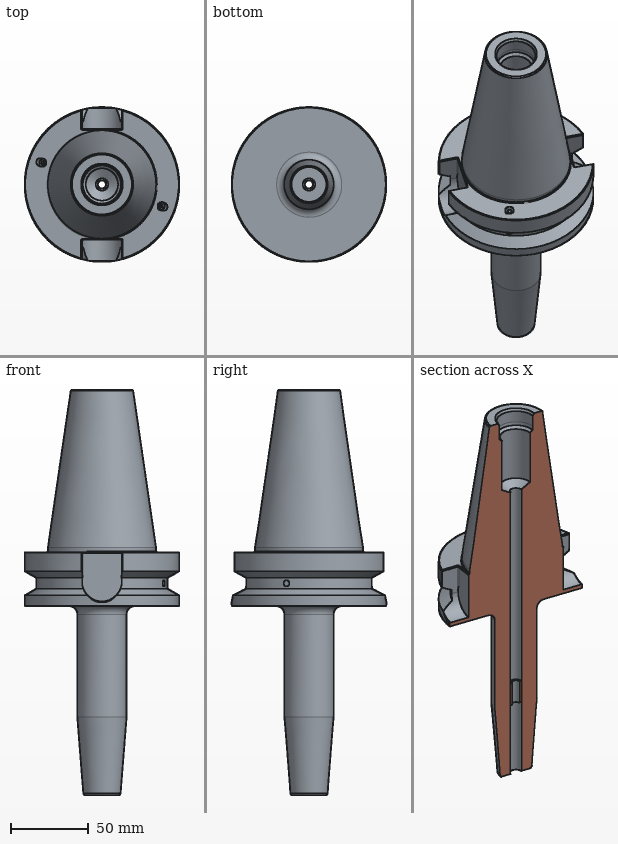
import cadquery as cq
import math


ARC_MID_SHARE = 1 - math.sqrt(0.5)

GAUGE_RADIUS = 69.85 / 2
TAPER_LENGTH = 101.8
TAPER_SLOPE = 7 / 48
TAPER_END_RADIUS = GAUGE_RADIUS - TAPER_LENGTH * TAPER_SLOPE
TAPER_END_CHAMFER = 0.8

FLANGE_RADIUS = 50.0
FLANGE_TOP = -3.0
FLANGE_BOTTOM = -38.0
FLANGE_CHAMFER = 0.5
COLLAR_FILLET = 0.6
GROOVE_RADIUS = 42.5
GROOVE_MID = -23.2
GROOVE_FLOOR_WIDTH = 7.0
GROOVE_FLANK_ANGLE = 30.0
GROOVE_FLANK_HEIGHT = (FLANGE_RADIUS - GROOVE_RADIUS) * math.tan(math.radians(GROOVE_FLANK_ANGLE))
GROOVE_FLOOR_TOP = GROOVE_MID + GROOVE_FLOOR_WIDTH / 2
GROOVE_FLOOR_BOTTOM = GROOVE_MID - GROOVE_FLOOR_WIDTH / 2

SLOT_HALF_WIDTH = 12.85
SLOT_FLOOR_Y = 35.8
SLOT_ARC_MID = -22.0
SLOT_FILLET = 0.5
SLOT_CHAMFER = 0.7

NOSE_END = -160.0
NOSE_RADIUS = 16.0
NOSE_FILLET = 5.0
NOSE_TIP_RADIUS = 12.0
NOSE_TAPER_ANGLE = 4.5
NOSE_TAPER_TOP = NOSE_END + (NOSE_RADIUS - NOSE_TIP_RADIUS) / math.tan(math.radians(NOSE_TAPER_ANGLE))
TIP_CHAMFER_HEIGHT = 1.5
TIP_CHAMFER_WIDTH = 0.8

BORE_RADIUS = 12.5
BORE_DEPTH = 9.4
BORE_MOUTH_RADIUS = 13.5
BORE_MOUTH_DEPTH = 1.7
BORE_FOOT_RADIUS = 12.3
BORE_FOOT_DEPTH = 12.0
THREAD_RADIUS = 10.4
THREAD_START_DEPTH = 13.7
THREAD_DEPTH = 50.0
DRILL_POINT_SLOPE = math.tan(math.radians(30))
PASSAGE_RADIUS = 4.0

STOP_SCREW_HOLE_RADIUS = 2.6
STOP_SCREW_LENGTH = 16.0
STOP_SCREW_TOP = NOSE_TAPER_TOP + STOP_SCREW_LENGTH

PORT_ANGLES = (160.0, 340.0)
PORT_RADIAL_PLACE = 41.7
PORT_TILT = 30.0
PORT_RADIUS = 2.75
PORT_DEPTH = 8.0
PORT_SCREW_RECESS = 2.4
HEX_ACROSS_FLATS = 2.5
HEX_DEPTH = 2.5
HEX_CORNER_DIAMETER = HEX_ACROSS_FLATS / math.cos(math.radians(30))

PLUG_RADIUS = 2.0
PLUG_DEPTH = 5.0
PLUG_RECESS = 0.1


def port_plane(angle):
    """Plane across a tilted port at the flange top, its normal leaning outward and up."""
    turn = math.radians(angle)
    tilt = math.radians(PORT_TILT)
    outward = (math.cos(turn), math.sin(turn))
    return cq.Plane(
        origin=(PORT_RADIAL_PLACE * outward[0], PORT_RADIAL_PLACE * outward[1], FLANGE_TOP),
        xDir=(-outward[1], outward[0], 0),
        normal=(math.sin(tilt) * outward[0], math.sin(tilt) * outward[1], math.cos(tilt)),
    )


def plug_plane(angle):
    """Plane touching the groove floor, its normal pointing straight outward."""
    turn = math.radians(angle)
    outward = (math.cos(turn), math.sin(turn))
    return cq.Plane(
        origin=(GROOVE_RADIUS * outward[0], GROOVE_RADIUS * outward[1], GROOVE_MID),
        xDir=(-outward[1], outward[0], 0),
        normal=(outward[0], outward[1], 0),
    )


def round_bar(plane, radius, bottom, top):
    """Round bar along the plane's normal, between two heights above the plane."""
    return cq.Workplane(plane).workplane(offset=bottom).circle(radius).extrude(top - bottom)


def holder_blank():
    """Turned outside of the holder: nose, grooved flange and steep taper."""
    fillet_middle = ARC_MID_SHARE * NOSE_FILLET
    return (
        cq.Workplane("XZ")
        .moveTo(0, NOSE_END)
        .lineTo(NOSE_TIP_RADIUS - TIP_CHAMFER_WIDTH, NOSE_END)
        .lineTo(
            NOSE_TIP_RADIUS + TIP_CHAMFER_HEIGHT * math.tan(math.radians(NOSE_TAPER_ANGLE)),
            NOSE_END + TIP_CHAMFER_HEIGHT,
        )
        .lineTo(NOSE_RADIUS, NOSE_TAPER_TOP)
        .lineTo(NOSE_RADIUS, FLANGE_BOTTOM - NOSE_FILLET)
        .threePointArc(
            (NOSE_RADIUS + fillet_middle, FLANGE_BOTTOM - fillet_middle),
            (NOSE_RADIUS + NOSE_FILLET, FLANGE_BOTTOM),
        )
        .lineTo(FLANGE_RADIUS - FLANGE_CHAMFER, FLANGE_BOTTOM)
        .lineTo(FLANGE_RADIUS, FLANGE_BOTTOM + FLANGE_CHAMFER)
        .lineTo(FLANGE_RADIUS, GROOVE_FLOOR_BOTTOM - GROOVE_FLANK_HEIGHT)
        .lineTo(GROOVE_RADIUS, GROOVE_FLOOR_BOTTOM)
        .lineTo(GROOVE_RADIUS, GROOVE_FLOOR_TOP)
        .lineTo(FLANGE_RADIUS, GROOVE_FLOOR_TOP + GROOVE_FLANK_HEIGHT)
        .lineTo(FLANGE_RADIUS, FLANGE_TOP - FLANGE_CHAMFER)
        .lineTo(FLANGE_RADIUS - FLANGE_CHAMFER, FLANGE_TOP)
        .lineTo(GAUGE_RADIUS + COLLAR_FILLET, FLANGE_TOP)
        .threePointArc(
            (GAUGE_RADIUS + ARC_MID_SHARE * COLLAR_FILLET, FLANGE_TOP + ARC_MID_SHARE * COLLAR_FILLET),
            (GAUGE_RADIUS, FLANGE_TOP + COLLAR_FILLET),
        )
        .lineTo(GAUGE_RADIUS, 0)
        .lineTo(
            TAPER_END_RADIUS + TAPER_END_CHAMFER * TAPER_SLOPE,
            TAPER_LENGTH - TAPER_END_CHAMFER,
        )
        .lineTo(TAPER_END_RADIUS - TAPER_END_CHAMFER, TAPER_LENGTH)
        .lineTo(0, TAPER_LENGTH)
        .close()
        .revolve(360, (0, 0, 0), (0, 1, 0))
    )


def holder_bore():
    """Stepped bore from the taper's small end, continued by a passage through the nose."""
    thread_bottom = TAPER_LENGTH - THREAD_DEPTH
    return (
        cq.Workplane("XZ")
        .moveTo(0, TAPER_LENGTH)
        .lineTo(BORE_MOUTH_RADIUS, TAPER_LENGTH)
        .lineTo(BORE_RADIUS, TAPER_LENGTH - BORE_MOUTH_DEPTH)
        .lineTo(BORE_RADIUS, TAPER_LENGTH - BORE_DEPTH)
        .lineTo(BORE_FOOT_RADIUS, TAPER_LENGTH - BORE_FOOT_DEPTH)
        .lineTo(THREAD_RADIUS, TAPER_LENGTH - THREAD_START_DEPTH)
        .lineTo(THREAD_RADIUS, thread_bottom)
        .lineTo(PASSAGE_RADIUS, thread_bottom - (THREAD_RADIUS - PASSAGE_RADIUS) * DRILL_POINT_SLOPE)
        .lineTo(PASSAGE_RADIUS, NOSE_END)
        .lineTo(0, NOSE_END)
        .close()
        .revolve(360, (0, 0, 0), (0, 1, 0))
    )


def drive_slot():
    """Cutter for the -Y drive slot: straight walls above a round end, with chamfered outer edges."""
    straight_walls = (
        cq.Workplane("XY")
        .workplane(offset=SLOT_ARC_MID)
        .rect(2 * SLOT_HALF_WIDTH, 2 * FLANGE_RADIUS)
        .extrude(FLANGE_TOP - SLOT_CHAMFER - SLOT_ARC_MID)
        .translate((0, -SLOT_FLOOR_Y - FLANGE_RADIUS, 0))
        .edges("|Z and >Y")
        .fillet(SLOT_FILLET)
    )
    with_top_chamfer = (
        straight_walls.faces(">Z").wires().toPending().workplane().extrude(SLOT_CHAMFER, taper=-45)
    )
    round_end = (
        cq.Workplane("XZ", origin=(0, -SLOT_FLOOR_Y, 0))
        .center(0, SLOT_ARC_MID)
        .circle(SLOT_HALF_WIDTH)
        .extrude(FLANGE_RADIUS)
    )
    return with_top_chamfer.union(round_end).union(slot_rim_flare())


def slot_rim_flare():
    """Cutter for the chamfers on the drive slot's edges at the flange rim."""
    wall_end_y = math.sqrt(FLANGE_RADIUS**2 - SLOT_HALF_WIDTH**2)
    wide_half_width = SLOT_HALF_WIDTH + SLOT_CHAMFER
    wall_flare = (
        cq.Workplane("XY", origin=(0, 0, SLOT_ARC_MID))
        .moveTo(-SLOT_HALF_WIDTH, -wall_end_y + SLOT_CHAMFER)
        .lineTo(SLOT_HALF_WIDTH, -wall_end_y + SLOT_CHAMFER)
        .lineTo(wide_half_width, -wall_end_y)
        .lineTo(wide_half_width, -FLANGE_RADIUS)
        .lineTo(-wide_half_width, -FLANGE_RADIUS)
        .lineTo(-wide_half_width, -wall_end_y)
        .close()
        .extrude(FLANGE_TOP - SLOT_ARC_MID)
    )
    round_flare = cq.Workplane(
        cq.Solid.makeCone(
            SLOT_HALF_WIDTH,
            wide_half_width,
            SLOT_CHAMFER,
            pnt=cq.Vector(0, SLOT_CHAMFER - FLANGE_RADIUS, SLOT_ARC_MID),
            dir=cq.Vector(0, -1, 0),
        )
    )
    return wall_flare.union(round_flare)


def make_holder():
    holder = holder_blank().cut(holder_bore())
    for turn in (0, 180):
        holder = holder.cut(drive_slot().rotate((0, 0, 0), (0, 0, 1), turn))
    for angle in PORT_ANGLES:
        holder = holder.cut(round_bar(port_plane(angle), PORT_RADIUS, -PORT_DEPTH, PORT_DEPTH))
        holder = holder.cut(round_bar(plug_plane(angle), PLUG_RADIUS, -PLUG_DEPTH, PLUG_DEPTH))
    return holder


def make_port_screw(angle):
    """Set screw filling a port below its recess, with a hexagon socket."""
    screw = round_bar(port_plane(angle), PORT_RADIUS, -PORT_DEPTH, -PORT_SCREW_RECESS)
    socket = (
        cq.Workplane(port_plane(angle))
        .workplane(offset=-PORT_SCREW_RECESS)
        .polygon(6, HEX_CORNER_DIAMETER)
        .extrude(-HEX_DEPTH)
    )
    return screw.cut(socket)


def make_groove_plug(angle):
    """Plain plug sunk just below the groove floor."""
    return round_bar(plug_plane(angle), PLUG_RADIUS, -PLUG_DEPTH, -PLUG_RECESS)


def make_stop_screw():
    """Hollow screw filling the passage inside the nose."""
    return (
        cq.Workplane("XY")
        .workplane(offset=STOP_SCREW_TOP)
        .circle(PASSAGE_RADIUS)
        .circle(STOP_SCREW_HOLE_RADIUS)
        .extrude(-STOP_SCREW_LENGTH)
    )


holder = make_holder()
stop_screw = make_stop_screw()
port_screws = [make_port_screw(angle) for angle in PORT_ANGLES]
groove_plugs = [make_groove_plug(angle) for angle in PORT_ANGLES]

result = cq.Compound.makeCompound([
    holder.val(),
    stop_screw.val(),
    *[screw.val() for screw in port_screws],
    *[plug.val() for plug in groove_plugs],
])